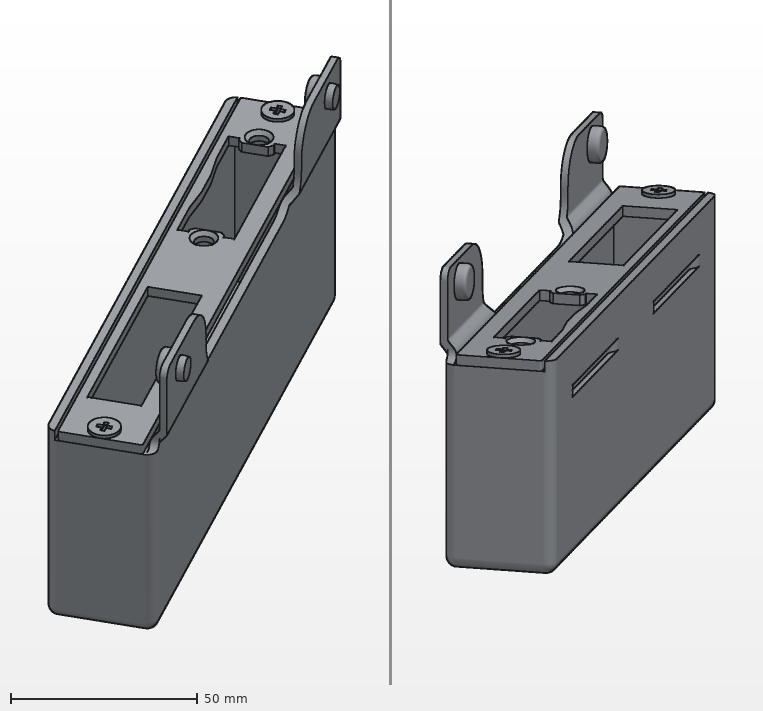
import cadquery as cq


CASE_LENGTH = 172.0
CASE_WIDTH = 30.6
CASE_HEIGHT = 59.9
WALL = 2.5
OUTER_RADIUS = 3.1
COVER_THICKNESS = 3.0
SEAT_Z = CASE_HEIGHT - COVER_THICKNESS
SEAT_LEDGE_LENGTH = 9.0

TOTAL_HEIGHT = 82.0
EAR_THICKNESS = 2.0
EAR_INSET = 4.3
EAR_WIDTH = 36.8
EAR_INNER_CORNER_RADIUS = 11.5
EAR_OUTER_CORNER_RADIUS = 3.1
EAR_INNER_ROOT_RADIUS = 10.7
EAR_OUTER_ROOT_RADIUS = 3.0
EAR_BACK_X = CASE_WIDTH + EAR_THICKNESS
STEP_INNER_START_Z = 59.3
STEP_INNER_END_Z = 62.5
STEP_OUTER_START_Z = 58.7
STEP_OUTER_END_Z = 61.2
BEND_OUTER_RADIUS = 4.0
BEND_INNER_RADIUS = 1.4

GROOVE_CENTER_Y = 42.7
GROOVE_LENGTH = 48.2
GROOVE_BOTTOM_Z = 44.7
GROOVE_HEIGHT = 3.3
GROOVE_DEPTH = 1.7
GROOVE_RAMP_LENGTH = 4.3

COVER_LEFT_X = 3.5
COVER_RIGHT_X = 27.2
COVER_CORNER_RADIUS = 0.5
OPENING_X = 13.8
LATCH_WINDOW_WIDTH = 16.0
LATCH_WINDOW_LENGTH = GROOVE_LENGTH
LATCH_WINDOW_Y = GROOVE_CENTER_Y
BULGE_LENGTH = 25.8
BULGE_HEIGHT = 1.0
TAB_WIDTH = 9.8
TAB_REACH = 2.0
TAB_CHAMFER = 1.2
FIXING_HOLE_SPACING = 52.0
FIXING_HOLE_DIAMETER = 5.3
COUNTERSINK_DIAMETER = 7.7
COUNTERSINK_ANGLE = 90
BOLT_WINDOW_WIDTH = 15.1
BOLT_WINDOW_LENGTH = 56.8
BOLT_WINDOW_Y = -39.0

SCREW_X = 15.1
SCREW_HEAD_DIAMETER = 9.0
SCREW_HEAD_HEIGHT = 1.0
SCREW_SHANK_DIAMETER = 5.0
SCREW_Y = (CASE_LENGTH - SCREW_HEAD_DIAMETER) / 2
CROSS_LENGTH = 4.1
CROSS_WIDTH = 1.2
CROSS_DEPTH = 0.7
CROSS_TAPER = 20

RIVET_Y = 70.0
RIVET_Z = 75.7
RIVET_SHANK_DIAMETER = 7.0
RIVET_HEAD_DIAMETER = 10.0
RIVET_HEAD_HEIGHT = 3.3
RIVET_HEAD_FILLET = 1.0
RIVET_TAIL_LENGTH = 2.2
RIVET_TAIL_TAPER_LENGTH = 1.2
RIVET_TAIL_END_DIAMETER = 6.7

SIDES = (-1, 1)


def block(x_min, x_max, y_min, y_max, z_min, z_max):
    """Box given by its limits."""
    return cq.Workplane("XY").box(
        x_max - x_min, y_max - y_min, z_max - z_min, centered=False
    ).translate((x_min, y_min, z_min))


def case_shell():
    """Open-topped tray with rounded outer edges, the plain long wall rising beside the cover."""
    half = CASE_LENGTH / 2
    shell = block(0, CASE_WIDTH, -half, half, 0, CASE_HEIGHT)
    shell = shell.edges("|Z or <Z").fillet(OUTER_RADIUS)
    inner_half = half - WALL
    shell = shell.cut(block(WALL, CASE_WIDTH - WALL, -inner_half, inner_half, WALL, CASE_HEIGHT))
    return shell.cut(block(WALL, CASE_WIDTH, -half, half, SEAT_Z, CASE_HEIGHT))


def ear_outline():
    """Ear of the +Y half seen along X, with rounded corners and fillets at its root."""
    outer_y = CASE_LENGTH / 2 - EAR_INSET
    inner_y = outer_y - EAR_WIDTH
    base_z = SEAT_Z - WALL
    return (
        cq.Workplane("YZ")
        .moveTo(outer_y + EAR_OUTER_ROOT_RADIUS, base_z)
        .lineTo(outer_y + EAR_OUTER_ROOT_RADIUS, SEAT_Z)
        .radiusArc((outer_y, SEAT_Z + EAR_OUTER_ROOT_RADIUS), EAR_OUTER_ROOT_RADIUS)
        .lineTo(outer_y, TOTAL_HEIGHT - EAR_OUTER_CORNER_RADIUS)
        .radiusArc((outer_y - EAR_OUTER_CORNER_RADIUS, TOTAL_HEIGHT), -EAR_OUTER_CORNER_RADIUS)
        .lineTo(inner_y + EAR_INNER_CORNER_RADIUS, TOTAL_HEIGHT)
        .radiusArc((inner_y, TOTAL_HEIGHT - EAR_INNER_CORNER_RADIUS), -EAR_INNER_CORNER_RADIUS)
        .lineTo(inner_y, SEAT_Z + EAR_INNER_ROOT_RADIUS)
        .radiusArc((inner_y - EAR_INNER_ROOT_RADIUS, SEAT_Z), EAR_INNER_ROOT_RADIUS)
        .lineTo(inner_y - EAR_INNER_ROOT_RADIUS, base_z)
        .close()
    )


def stepped_sheet():
    """Sheet that rises from the eared wall and steps outward over a slope, over all of +Y."""
    base_z = SEAT_Z - WALL
    inner_x = CASE_WIDTH - WALL
    sheet = (
        cq.Workplane("XZ")
        .moveTo(inner_x, base_z)
        .lineTo(inner_x, STEP_INNER_START_Z)
        .lineTo(CASE_WIDTH, STEP_INNER_END_Z)
        .lineTo(CASE_WIDTH, TOTAL_HEIGHT)
        .lineTo(EAR_BACK_X, TOTAL_HEIGHT)
        .lineTo(EAR_BACK_X, STEP_OUTER_END_Z)
        .lineTo(CASE_WIDTH, STEP_OUTER_START_Z)
        .lineTo(CASE_WIDTH, base_z)
        .close()
        .extrude(-CASE_LENGTH / 2)
    )
    lower_bend = cq.selectors.NearestToPointSelector((inner_x, CASE_LENGTH / 4, STEP_INNER_START_Z))
    upper_bend = cq.selectors.NearestToPointSelector((CASE_WIDTH, CASE_LENGTH / 4, STEP_INNER_END_Z))
    sheet = sheet.edges(lower_bend).fillet(BEND_OUTER_RADIUS)
    return sheet.edges(upper_bend).fillet(BEND_INNER_RADIUS)


def ear():
    """Ear of the +Y half, with its rivet hole."""
    half = CASE_LENGTH / 2
    column = block(0, CASE_WIDTH, -half, half, 0, TOTAL_HEIGHT).edges("|Z").fillet(OUTER_RADIUS)
    overhang = block(CASE_WIDTH, EAR_BACK_X, 0, half - EAR_INSET, 0, TOTAL_HEIGHT)
    plate = stepped_sheet().intersect(ear_outline().extrude(EAR_BACK_X))
    plate = plate.intersect(column.union(overhang))
    rivet_hole = (
        cq.Workplane("YZ")
        .center(RIVET_Y, RIVET_Z)
        .circle(RIVET_SHANK_DIAMETER / 2)
        .extrude(EAR_BACK_X)
    )
    return plate.cut(rivet_hole)


def groove(center_y):
    """Shallow groove along Y whose floor is reached at both ends over an S-shaped ramp."""
    half_length = GROOVE_LENGTH / 2
    half_floor = half_length - GROOVE_RAMP_LENGTH
    half_way = (half_length + half_floor) / 2
    ramp_radius = (GROOVE_DEPTH**2 + GROOVE_RAMP_LENGTH**2) / (4 * GROOVE_DEPTH)
    return (
        cq.Workplane("XY")
        .moveTo(0, -half_length)
        .radiusArc((GROOVE_DEPTH / 2, -half_way), ramp_radius)
        .radiusArc((GROOVE_DEPTH, -half_floor), -ramp_radius)
        .lineTo(GROOVE_DEPTH, half_floor)
        .radiusArc((GROOVE_DEPTH / 2, half_way), -ramp_radius)
        .radiusArc((0, half_length), ramp_radius)
        .close()
        .extrude(GROOVE_HEIGHT)
        .translate((0, center_y, GROOVE_BOTTOM_Z))
    )


def screw_ledge():
    """Ledge inside the +Y end wall, just below the cover."""
    inner_end = CASE_LENGTH / 2 - WALL
    return block(
        WALL, CASE_WIDTH - WALL, CASE_LENGTH / 2 - SEAT_LEDGE_LENGTH, inner_end, SEAT_Z - WALL, SEAT_Z
    )


def screw_shank(side):
    """Screw shank from the ledge underside to the cover top."""
    return (
        cq.Workplane("XY", origin=(SCREW_X, side * SCREW_Y, SEAT_Z - WALL))
        .circle(SCREW_SHANK_DIAMETER / 2)
        .extrude(WALL + COVER_THICKNESS)
    )


def make_case():
    case = case_shell()
    for half_feature in (ear(), screw_ledge()):
        case = case.union(half_feature).union(half_feature.mirror("XZ"))
    for side in SIDES:
        case = case.cut(groove(side * GROOVE_CENTER_Y)).cut(screw_shank(side))
    return case


def latch_window():
    """Window with one bowed long edge and, at each end, a tab of the cover left standing."""
    left = OPENING_X - LATCH_WINDOW_WIDTH / 2
    right = OPENING_X + LATCH_WINDOW_WIDTH / 2
    half_length = LATCH_WINDOW_LENGTH / 2
    window = (
        cq.Workplane("XY")
        .moveTo(left, -half_length)
        .lineTo(left, -BULGE_LENGTH / 2)
        .threePointArc((left + BULGE_HEIGHT, 0), (left, BULGE_LENGTH / 2))
        .lineTo(left, half_length)
        .lineTo(right, half_length)
        .lineTo(right, -half_length)
        .close()
        .extrude(COVER_THICKNESS)
    )
    for side in SIDES:
        tab = (
            cq.Workplane("XY")
            .center(OPENING_X, side * half_length)
            .rect(TAB_WIDTH, 2 * TAB_REACH)
            .extrude(COVER_THICKNESS)
            .edges("|Z")
            .chamfer(TAB_CHAMFER)
        )
        window = window.cut(tab)
    return window.translate((0, LATCH_WINDOW_Y, SEAT_Z))


def make_cover():
    half = CASE_LENGTH / 2
    cover = block(COVER_LEFT_X, COVER_RIGHT_X, -half, half, SEAT_Z, CASE_HEIGHT)
    cover = cover.edges("|Z").fillet(COVER_CORNER_RADIUS)
    bolt_window = (
        cq.Workplane("XY", origin=(OPENING_X, BOLT_WINDOW_Y, SEAT_Z))
        .rect(BOLT_WINDOW_WIDTH, BOLT_WINDOW_LENGTH)
        .extrude(COVER_THICKNESS)
    )
    cover = cover.cut(latch_window()).cut(bolt_window)
    cover = (
        cover.faces(">Z")
        .workplane(origin=(OPENING_X, LATCH_WINDOW_Y, CASE_HEIGHT))
        .pushPoints([(0, side * FIXING_HOLE_SPACING / 2) for side in SIDES])
        .cskHole(FIXING_HOLE_DIAMETER, COUNTERSINK_DIAMETER, COUNTERSINK_ANGLE)
    )
    for side in SIDES:
        cover = cover.cut(screw_shank(side))
    return cover


def make_screw(side):
    """Flat-headed screw with a cross recess."""
    head = (
        cq.Workplane("XY", origin=(SCREW_X, side * SCREW_Y, CASE_HEIGHT))
        .circle(SCREW_HEAD_DIAMETER / 2)
        .extrude(SCREW_HEAD_HEIGHT)
    )
    recess_top = cq.Workplane("XY", origin=(SCREW_X, side * SCREW_Y, CASE_HEIGHT + SCREW_HEAD_HEIGHT))
    for size_x, size_y in ((CROSS_LENGTH, CROSS_WIDTH), (CROSS_WIDTH, CROSS_LENGTH)):
        head = head.cut(recess_top.rect(size_x, size_y).extrude(-CROSS_DEPTH, taper=CROSS_TAPER))
    return head.union(screw_shank(side))


def make_rivet(side):
    """Round-edged head inside the ear, shank through it and a slightly tapered tail outside."""
    head_radius = RIVET_HEAD_DIAMETER / 2
    shank_radius = RIVET_SHANK_DIAMETER / 2
    head_x = CASE_WIDTH - RIVET_HEAD_HEIGHT
    tail_x = EAR_BACK_X + RIVET_TAIL_LENGTH
    return (
        cq.Workplane("XY")
        .moveTo(head_x, 0)
        .lineTo(head_x, head_radius - RIVET_HEAD_FILLET)
        .radiusArc((head_x + RIVET_HEAD_FILLET, head_radius), RIVET_HEAD_FILLET)
        .lineTo(CASE_WIDTH, head_radius)
        .lineTo(CASE_WIDTH, shank_radius)
        .lineTo(tail_x - RIVET_TAIL_TAPER_LENGTH, shank_radius)
        .lineTo(tail_x, RIVET_TAIL_END_DIAMETER / 2)
        .lineTo(tail_x, 0)
        .close()
        .revolve(360, (0, 0, 0), (1, 0, 0))
        .translate((0, side * RIVET_Y, RIVET_Z))
    )


case = make_case()
cover = make_cover()
screws = [make_screw(side) for side in SIDES]
rivets = [make_rivet(side) for side in SIDES]

result = cq.Compound.makeCompound(
    [case.val(), cover.val(), *[screw.val() for screw in screws], *[rivet.val() for rivet in rivets]]
)